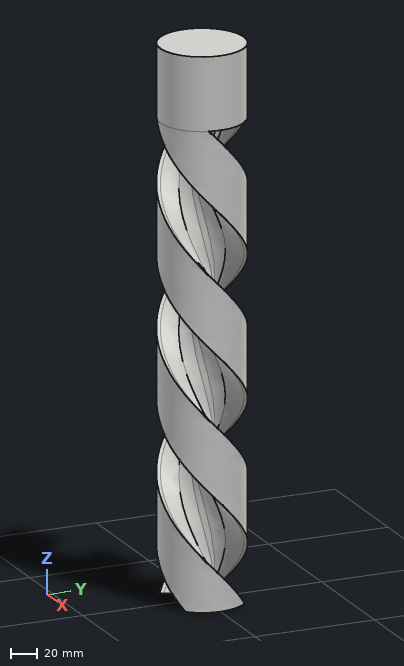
import cadquery as cq
import math

length = 449.0
diameter = 70.0
shank_length = 60.0
flute_length = length - shank_length
radius = diameter / 2

flute_count = 2
twist_angle = -600.0

rim_half_width = 24.5
lip_half_width = 23.5
lip_depth = 22.0
wall_mid_half_width = 19.8
wall_mid_depth = 17.0
wall_end_half_width = 13.5
wall_end_depth = 11.5
floor_mid_half_width = 8.0
floor_mid_depth = 10.0
floor_half_width = 2.5
web_half_thickness = 9.2
rim_depth = math.sqrt(radius**2 - rim_half_width**2)


def rotated(point, turns):
    """Turn a section point about the axis by a whole number of flute spacings."""
    angle = turns * 2 * math.pi / flute_count
    x, y = point
    return (
        x * math.cos(angle) - y * math.sin(angle),
        x * math.sin(angle) + y * math.cos(angle),
    )


def add_flute(outline, turns):
    """Trace a flute from its left rim to its right rim."""

    def at(x, depth):
        return rotated((x, -depth), turns)

    return (
        outline
        .lineTo(*at(-lip_half_width, lip_depth))
        .threePointArc(at(-wall_mid_half_width, wall_mid_depth), at(-wall_end_half_width, wall_end_depth))
        .threePointArc(at(-floor_mid_half_width, floor_mid_depth), at(-floor_half_width, web_half_thickness))
        .lineTo(*at(floor_half_width, web_half_thickness))
        .threePointArc(at(floor_mid_half_width, floor_mid_depth), at(wall_end_half_width, wall_end_depth))
        .threePointArc(at(wall_mid_half_width, wall_mid_depth), at(lip_half_width, lip_depth))
        .lineTo(*at(rim_half_width, rim_depth))
    )


def fluted_section():
    """Closed outline: flutes alternating with round lands."""
    left_rim = (-rim_half_width, -rim_depth)
    land_middle = (radius, 0)
    outline = cq.Workplane("XY").moveTo(*left_rim)
    for turns in range(flute_count):
        outline = add_flute(outline, turns)
        outline = outline.threePointArc(rotated(land_middle, turns), rotated(left_rim, turns + 1))
    return outline.close()


fluted_body = fluted_section().twistExtrude(flute_length, twist_angle)
shank = cq.Workplane("XY").workplane(offset=flute_length).circle(radius).extrude(shank_length)
result = fluted_body.union(shank)